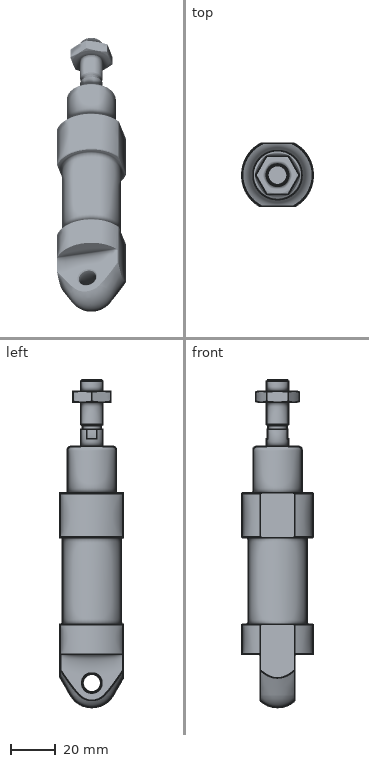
import cadquery as cq
import math


fillet_mid_factor = 1 - math.sqrt(0.5)

hole_diameter = 8.0
hole_chamfer = 0.5
dome_radius = 11.0
cone_half_angle = math.radians(30)
lug_thickness = 15.5
lug_root_fillet = 0.75

cap_radius = 16.0
flat_minus_y = 14.0
flat_plus_y = 14.31
rear_cap_bottom = 13.0
rear_cap_top = 26.4
front_cap_bottom = 65.3
front_cap_top = 85.3
cap_chamfer = 0.3

tube_diameter = 26.52
tube_fillet = 0.6
neck_diameter = 22.0
neck_top = 106.2
neck_top_fillet = 1.75
neck_root_fillet = 0.4

rod_diameter = 10.0
rod_top = 136.0
thread_length = 19.8
tip_diameter = 8.65
tip_chamfer = (rod_diameter - tip_diameter) / 2
groove_width = 2.2
groove_diameter = 8.57
thread_end_chamfer = 0.7
shoulder_chamfer = 0.2
wrench_flat_length = 4.4
wrench_flat_width = 9.0

nut_across_flats = 17.0
nut_thickness = 5.0
nut_setback = 5.0
nut_top = rod_top - nut_setback
nut_face_diameter = 16.6
nut_chamfer_angle = math.radians(15)


def make_flats_block(height):
    """Block lying between the two cap flats, rising from Z = 0."""
    depth = flat_minus_y + flat_plus_y
    block = cq.Workplane("XY").box(2 * cap_radius, depth, height, centered=(True, False, False))
    return block.translate((0, -flat_minus_y, 0))


def make_cap(bottom, top, chamfered_faces):
    """Round end cap, chamfered on the selected end faces, with flats on its -Y and +Y sides."""
    height = top - bottom
    disc = cq.Workplane("XY").circle(cap_radius).extrude(height)
    disc = disc.faces(chamfered_faces).edges().chamfer(cap_chamfer)
    return disc.intersect(make_flats_block(height)).translate((0, 0, bottom))


def make_nose(top):
    """Body of revolution: spherical nose, tangent cone, then a cylinder up to the given height."""
    tangent_radius = dome_radius * math.cos(cone_half_angle)
    tangent_height = -dome_radius * math.sin(cone_half_angle)
    cone_top = tangent_height + (cap_radius - tangent_radius) / math.tan(cone_half_angle)
    mid_angle = (math.pi / 2 + cone_half_angle) / 2
    return (
        cq.Workplane("XZ")
        .moveTo(0, -dome_radius)
        .threePointArc(
            (dome_radius * math.cos(mid_angle), -dome_radius * math.sin(mid_angle)),
            (tangent_radius, tangent_height),
        )
        .lineTo(cap_radius, cone_top)
        .lineTo(cap_radius, top)
        .lineTo(0, top)
        .close()
        .revolve(360, (0, 0, 0), (0, 1, 0))
    )


def lug_root_profile():
    """Lug section in XZ, flaring with a fillet into the underside of the rear cap."""
    half = lug_thickness / 2
    bend = lug_root_fillet * fillet_mid_factor
    fillet_start = rear_cap_bottom - lug_root_fillet
    return (
        cq.Workplane("XZ")
        .moveTo(-half, -dome_radius)
        .lineTo(half, -dome_radius)
        .lineTo(half, fillet_start)
        .threePointArc((half + bend, rear_cap_bottom - bend), (half + lug_root_fillet, rear_cap_bottom))
        .lineTo(-half - lug_root_fillet, rear_cap_bottom)
        .threePointArc((-half - bend, rear_cap_bottom - bend), (-half, fillet_start))
        .close()
    )


def make_mounting_hole():
    """Cutter along X for the pin hole, chamfered at both lug faces."""
    half = lug_thickness / 2
    radius = hole_diameter / 2
    return (
        cq.Workplane("XY")
        .moveTo(-half, 0)
        .lineTo(-half, radius + hole_chamfer)
        .lineTo(-half + hole_chamfer, radius)
        .lineTo(half - hole_chamfer, radius)
        .lineTo(half, radius + hole_chamfer)
        .lineTo(half, 0)
        .close()
        .revolve(360, (0, 0, 0), (1, 0, 0))
    )


def make_rear_lug():
    """Lug under the rear cap, trimmed by the nose and by the two cap flats."""
    slab = lug_root_profile().extrude(cap_radius, both=True)
    envelope = make_nose(rear_cap_bottom).intersect(
        make_flats_block(rear_cap_bottom + dome_radius).translate((0, 0, -dome_radius))
    )
    return slab.intersect(envelope).cut(make_mounting_hole())


def make_root_fillet(radius, height, size, direction):
    """Concave fillet ring where a round shaft of the given radius meets a cap face.

    direction is +1 when the shaft rises from the face and -1 when it drops from it.
    """
    bend = size * fillet_mid_factor
    return (
        cq.Workplane("XZ")
        .moveTo(0, height)
        .lineTo(radius + size, height)
        .threePointArc((radius + bend, height + direction * bend), (radius, height + direction * size))
        .lineTo(0, height + direction * size)
        .close()
        .revolve(360, (0, 0, 0), (0, 1, 0))
    )


def make_housing():
    """Caps, tube, neck and lug as one solid."""
    tube_radius = tube_diameter / 2
    neck_radius = neck_diameter / 2
    tube = (
        cq.Workplane("XY", origin=(0, 0, rear_cap_top))
        .circle(tube_radius)
        .extrude(front_cap_bottom - rear_cap_top)
    )
    neck = (
        cq.Workplane("XY", origin=(0, 0, front_cap_top))
        .circle(neck_radius)
        .extrude(neck_top - front_cap_top)
        .faces(">Z")
        .edges()
        .fillet(neck_top_fillet)
    )
    return (
        make_cap(rear_cap_bottom, rear_cap_top, ">Z")
        .union(make_rear_lug())
        .union(tube)
        .union(make_cap(front_cap_bottom, front_cap_top, "<Z or >Z"))
        .union(neck)
        .union(make_root_fillet(tube_radius, rear_cap_top, tube_fillet, 1))
        .union(make_root_fillet(tube_radius, front_cap_bottom, tube_fillet, -1))
        .union(make_root_fillet(neck_radius, front_cap_top, neck_root_fillet, 1))
    )


def make_rod():
    """Piston rod standing on the end face of the neck, with wrench flats, relief groove and thread."""
    radius = rod_diameter / 2
    groove_radius = groove_diameter / 2
    thread_bottom = rod_top - thread_length
    groove_bottom = thread_bottom - groove_width
    rod = (
        cq.Workplane("XZ")
        .moveTo(0, neck_top)
        .lineTo(radius, neck_top)
        .lineTo(radius, groove_bottom - shoulder_chamfer)
        .lineTo(radius - shoulder_chamfer, groove_bottom)
        .lineTo(groove_radius, groove_bottom)
        .lineTo(groove_radius, thread_bottom - thread_end_chamfer)
        .lineTo(radius, thread_bottom)
        .lineTo(radius, rod_top - tip_chamfer)
        .lineTo(radius - tip_chamfer, rod_top)
        .lineTo(0, rod_top)
        .close()
        .revolve(360, (0, 0, 0), (0, 1, 0))
    )
    flat_center = wrench_flat_width / 2 + radius / 2
    flat_cutter = cq.Workplane("XY").box(
        radius, rod_diameter, wrench_flat_length, centered=(True, True, False)
    )
    for side in (-1, 1):
        rod = rod.cut(flat_cutter.translate((side * flat_center, 0, groove_bottom - wrench_flat_length)))
    return rod


def make_nut():
    """Hexagon lock nut with chamfered corners on both faces."""
    corner_radius = nut_across_flats / math.sqrt(3)
    face_radius = nut_face_diameter / 2
    chamfer_height = (corner_radius - face_radius) * math.tan(nut_chamfer_angle)
    nut_bottom = nut_top - nut_thickness
    hexagon = (
        cq.Workplane("XY", origin=(0, 0, nut_bottom))
        .polygon(6, 2 * corner_radius)
        .circle(rod_diameter / 2)
        .extrude(nut_thickness)
    )
    envelope = (
        cq.Workplane("XZ")
        .moveTo(0, nut_bottom)
        .lineTo(face_radius, nut_bottom)
        .lineTo(corner_radius, nut_bottom + chamfer_height)
        .lineTo(corner_radius, nut_top - chamfer_height)
        .lineTo(face_radius, nut_top)
        .lineTo(0, nut_top)
        .close()
        .revolve(360, (0, 0, 0), (0, 1, 0))
    )
    return hexagon.intersect(envelope)


housing = make_housing()
rod = make_rod()
nut = make_nut()

result = cq.Compound.makeCompound([housing.val(), rod.val(), nut.val()])